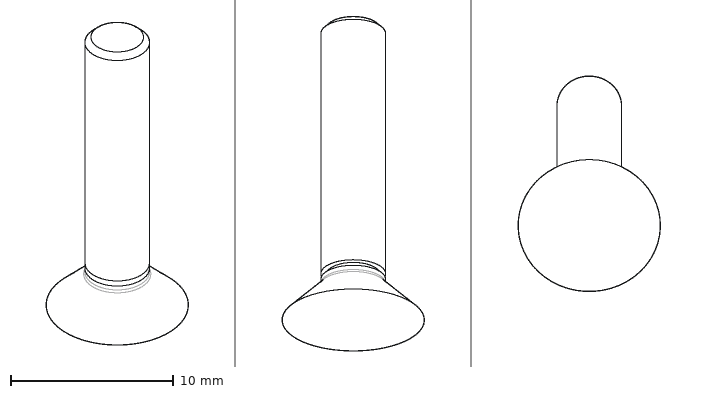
import cadquery as cq
import math

total_length = 20.0
head_diameter = 8.78
shank_radius = 2.0
chamfer = 0.38
shank_bottom = 3.15
neck_fillet = 0.25

head_radius = head_diameter / 2
cone_top = head_radius - shank_radius
chamfer_radius = shank_radius - chamfer

tangent_length = neck_fillet * math.tan(math.radians(22.5))
tangent_offset = tangent_length * math.sin(math.radians(45))
arc_center_radius = shank_radius + neck_fillet
arc_center_z = cone_top + tangent_length
arc_middle = (
    arc_center_radius - neck_fillet * math.cos(math.radians(22.5)),
    arc_center_z - neck_fillet * math.sin(math.radians(22.5)),
)

half_section = (
    cq.Workplane("XZ")
    .moveTo(0, 0)
    .lineTo(head_radius, 0)
    .lineTo(shank_radius + tangent_offset, cone_top - tangent_offset)
    .threePointArc(arc_middle, (shank_radius, arc_center_z))
    .lineTo(shank_radius, shank_bottom - chamfer)
    .lineTo(chamfer_radius, shank_bottom)
    .lineTo(shank_radius, shank_bottom)
    .lineTo(shank_radius, total_length - chamfer)
    .lineTo(chamfer_radius, total_length)
    .lineTo(0, total_length)
    .close()
)

result = half_section.revolve(360, (0, 0, 0), (0, 1, 0))